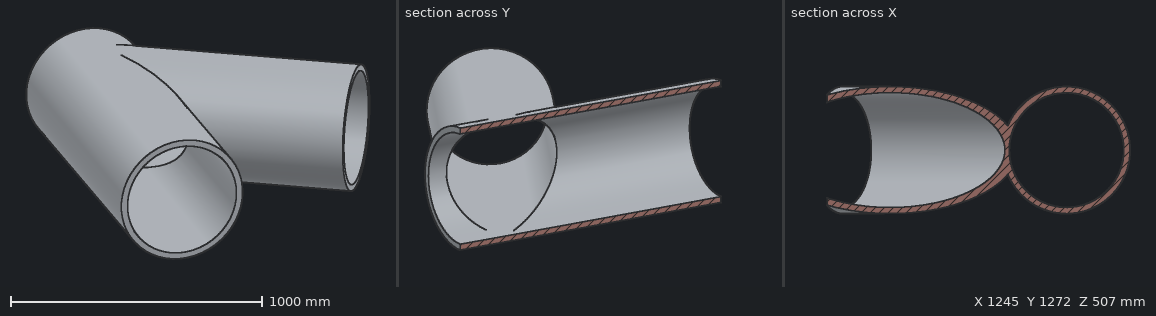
import cadquery as cq
import math

outer_diameter = 507.0
bore_diameter = 455.0
run_length = 1245.0
run_start_to_junction = 217.0
overall_width = 1272.0
branch_angle = 60.0

outer_radius = outer_diameter / 2
angle = math.radians(branch_angle)
corner_height = overall_width - outer_radius
branch_length = (corner_height - outer_radius * math.cos(angle)) / math.sin(angle)


def run_cylinder(diameter):
    """Full-length cylinder along the X axis."""
    return (
        cq.Workplane("YZ", origin=(-run_start_to_junction, 0, 0))
        .circle(diameter / 2)
        .extrude(run_length)
    )


def branch_cylinder(diameter):
    """Cylinder from the junction to the branch end, inclined in the XY plane."""
    direction = (math.cos(angle), math.sin(angle), 0)
    plane = cq.Plane(origin=(0, 0, 0), xDir=(0, 0, 1), normal=direction)
    return cq.Workplane(plane).circle(diameter / 2).extrude(branch_length)


def run_end_clearance():
    """Block beyond the near run end, where the branch base would poke out."""
    return (
        cq.Workplane("YZ", origin=(-run_start_to_junction, 0, 0))
        .rect(outer_diameter, outer_diameter)
        .extrude(-outer_diameter)
    )


outer_branch = branch_cylinder(outer_diameter).cut(run_end_clearance())
outer_body = run_cylinder(outer_diameter).union(outer_branch)

result = outer_body.cut(run_cylinder(bore_diameter)).cut(branch_cylinder(bore_diameter))